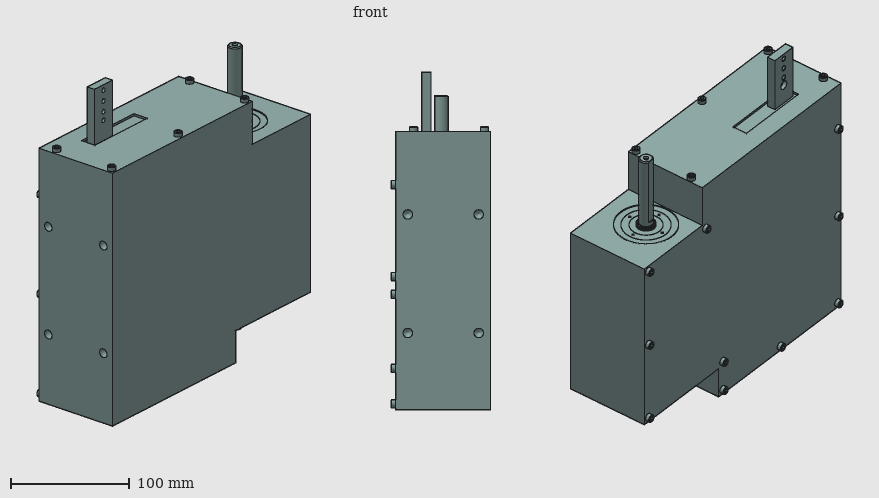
import cadquery as cq
import math

body_width = 80.0
body_depth = 265.0
body_height = 235.0
top_step_depth = 78.0
top_step_height = 40.0
bottom_step_depth = 100.0
bottom_step_height = 30.0

shelf_z = body_height - top_step_height
top_step_y = body_depth - top_step_depth
bottom_step_y = body_depth - bottom_step_depth

head_diameter = 7.0
head_height = 4.0
head_chamfer = 0.5
socket_across_flats = 3.0
socket_depth = 2.0
screw_inset = 5.0
top_step_screw_inset = 4.0

mount_diameter = 8.0
mount_depth = 16.0
mount_point_angle = 118
mount_spacing_x = 59.8
mount_spacing_z = 100.0
mount_first_x = 10.3
mount_top_drop = 70.0

lever_width = 8.0
lever_depth = 24.2
lever_height = 50.0
lever_front_y = 37.5
lever_center_x = 26.0
slot_width = 14.5
slot_length = 70.0
slot_depth = 2.0
slot_front_y = 34.5
slot_center_x = 25.6
lever_hole_diameter = 4.0
lever_hole_mouth = 4.8
mouth_taper = 45
lever_hole_drops = (5.0, 15.0, 25.0, 33.0)
lever_bore_diameter = 8.0
lever_bore_depth = 4.0

shaft_x = 38.2
shaft_y = body_depth - 50.0
shaft_diameter = 12.5
shaft_top_length = 70.0
shaft_bottom_length = 27.5
shaft_chamfer = 1.0
shaft_flat_cut = 1.0
top_flat_start = 6.0
bottom_flat_start = 4.0
center_hole_diameter = 2.5
center_hole_mouth = 4.5
center_hole_depth = 10.0
collar_diameter = 17.0
collar_root_diameter = 14.2
collar_height = 2.0
collar_chamfer = 0.9
collar_teeth = 18
cover_diameter = 55.0
cover_recess = 1.0
cover_ring_diameter = 42.5
cover_ring_inner_diameter = 28.8
cover_ring_height = 0.3
cover_hole_circle = 35.0
cover_hole_diameter = 2.0
cover_hole_depth = 5.0
cover_hole_count = 4


def make_housing():
    outline = [
        (0, 0),
        (bottom_step_y, 0),
        (bottom_step_y, bottom_step_height),
        (body_depth, bottom_step_height),
        (body_depth, shelf_z),
        (top_step_y, shelf_z),
        (top_step_y, body_height),
        (0, body_height),
    ]
    return cq.Workplane("YZ").polyline(outline).close().extrude(body_width)


def cylinder(x, y, z, diameter, height):
    """Upright cylinder standing on z."""
    return cq.Workplane("XY", origin=(x, y, z)).circle(diameter / 2).extrude(height)


def make_screw_head(origin, direction):
    """Socket head standing on a face at origin and pointing along direction."""
    head = cq.Workplane("XY").circle(head_diameter / 2).extrude(head_height)
    head = head.faces(">Z").chamfer(head_chamfer)
    socket_corners = socket_across_flats / math.cos(math.pi / 6)
    head = head.faces(">Z").workplane().polygon(6, socket_corners).cutBlind(-socket_depth)
    seat = cq.Plane(origin=origin, xDir=(0, 1, 0), normal=direction)
    return cq.Workplane(head.val().moved(cq.Location(seat)))


def make_screw_heads():
    front_y = screw_inset
    rear_y = body_depth - screw_inset
    top_step_screw_y = top_step_y - top_step_screw_inset
    bottom_step_screw_y = bottom_step_y - screw_inset
    low_z = screw_inset
    ledge_z = bottom_step_height + screw_inset
    high_z = shelf_z - screw_inset
    left_points = [
        (rear_y, high_z),
        (top_step_screw_y, high_z),
        (front_y, high_z),
        (rear_y, (high_z + ledge_z) / 2),
        (rear_y, ledge_z),
        (bottom_step_screw_y, ledge_z),
        (front_y, (high_z + low_z) / 2),
        (bottom_step_screw_y, low_z),
        ((bottom_step_screw_y + front_y) / 2, low_z),
        (front_y, low_z),
    ]
    right_x = body_width - screw_inset
    left_x = right_x - mount_spacing_x
    top_points = [
        (left_x, front_y),
        (right_x, front_y),
        (right_x, (front_y + top_step_screw_y) / 2),
        (left_x, top_step_screw_y),
        (right_x, top_step_screw_y),
    ]
    heads = [make_screw_head((0, y, z), (-1, 0, 0)) for y, z in left_points]
    heads += [make_screw_head((x, y, body_height), (0, 0, 1)) for x, y in top_points]
    return heads


def make_mount_holes():
    """Blind drilled holes with conical ends, entering from the front face."""
    radius = mount_diameter / 2
    point_length = radius / math.tan(math.radians(mount_point_angle / 2))
    profile = [(0, 0), (radius, 0), (radius, mount_depth), (0, mount_depth + point_length)]
    drill = cq.Workplane("XY").polyline(profile).close().revolve(360, (0, 0), (0, 1))
    top_z = body_height - mount_top_drop
    return [
        drill.translate((x, 0, z))
        for x in (mount_first_x, mount_first_x + mount_spacing_x)
        for z in (top_z, top_z - mount_spacing_z)
    ]


def make_slot():
    slot = cq.Workplane("XY").box(slot_width, slot_length, slot_depth, centered=(True, False, False))
    return slot.translate((slot_center_x, slot_front_y, body_height - slot_depth))


def make_lever():
    height = lever_height + slot_depth
    lever_top = body_height + lever_height
    lever = cq.Workplane("XY").box(lever_width, lever_depth, height, centered=(True, False, False))
    lever = lever.translate((lever_center_x, lever_front_y, body_height - slot_depth))
    left_x = lever_center_x - lever_width / 2
    hole_y = lever_front_y + lever_depth / 2
    mouth_depth = (lever_hole_mouth - lever_hole_diameter) / 2
    for drop in lever_hole_drops:
        side = cq.Workplane("YZ", origin=(left_x, hole_y, lever_top - drop))
        hole = side.circle(lever_hole_diameter / 2).extrude(lever_width)
        mouth = side.circle(lever_hole_mouth / 2).extrude(mouth_depth, taper=mouth_taper)
        lever = lever.cut(hole).cut(mouth)
    lowest = cq.Workplane("YZ", origin=(left_x, hole_y, lever_top - max(lever_hole_drops)))
    return lever.cut(lowest.circle(lever_bore_diameter / 2).extrude(lever_bore_depth))


def make_shaft_end(length, flat_start):
    """Shaft end rising from Z = 0, with a serrated collar at its foot and a flat on its left side."""
    end = cylinder(0, 0, 0, shaft_diameter, length).faces(">Z").chamfer(shaft_chamfer)
    flat_x = shaft_flat_cut - shaft_diameter / 2
    flat = cq.Workplane("XY").box(shaft_diameter, shaft_diameter, length, centered=(True, True, False))
    end = end.cut(flat.translate((flat_x - shaft_diameter / 2, 0, flat_start)))
    end = end.faces(">Z").workplane().cskHole(
        center_hole_diameter, center_hole_mouth, 2 * mouth_taper, center_hole_depth
    )
    tooth_quarter = math.pi / collar_teeth / 2
    points = []
    for step in range(4 * collar_teeth):
        radius = (collar_diameter if step % 4 < 2 else collar_root_diameter) / 2
        angle = step * tooth_quarter
        points.append((radius * math.cos(angle), radius * math.sin(angle)))
    collar = cq.Workplane("XY").polyline(points).close().extrude(collar_height)
    blank = cylinder(0, 0, 0, collar_diameter, collar_height).faces(">Z").chamfer(collar_chamfer)
    return end.union(collar.intersect(blank))


def add_bearing_cover(body):
    """Recess in the shelf around the shaft, with a raised ring carrying small holes."""
    floor_z = shelf_z - cover_recess
    body = body.cut(cylinder(shaft_x, shaft_y, floor_z, cover_diameter, cover_recess))
    ring = cylinder(shaft_x, shaft_y, floor_z, cover_ring_diameter, cover_ring_height)
    ring = ring.cut(cylinder(shaft_x, shaft_y, floor_z, cover_ring_inner_diameter, cover_ring_height))
    body = body.union(ring)
    hole_bottom = floor_z - cover_hole_depth
    for index in range(cover_hole_count):
        angle = 2 * math.pi * index / cover_hole_count
        x = shaft_x + cover_hole_circle / 2 * math.cos(angle)
        y = shaft_y + cover_hole_circle / 2 * math.sin(angle)
        body = body.cut(cylinder(x, y, hole_bottom, cover_hole_diameter, cover_hole_depth + cover_recess))
    return body


def add_shaft(body):
    top_end = make_shaft_end(shaft_top_length, top_flat_start).translate((shaft_x, shaft_y, shelf_z))
    plinth = cylinder(shaft_x, shaft_y, shelf_z - cover_recess, collar_diameter, cover_recess)
    bottom_end = make_shaft_end(shaft_bottom_length, bottom_flat_start).mirror("XY")
    bottom_end = bottom_end.translate((shaft_x, shaft_y, bottom_step_height))
    return body.union(plinth).union(top_end).union(bottom_end)


result = make_housing().cut(make_slot()).union(make_lever())
for hole in make_mount_holes():
    result = result.cut(hole)
result = add_bearing_cover(result)
result = add_shaft(result)
for head in make_screw_heads():
    result = result.union(head)